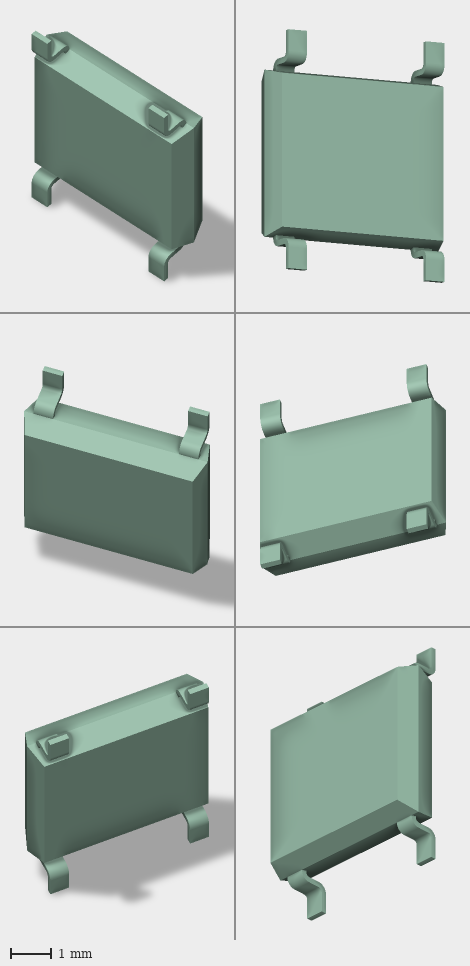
import cadquery as cq

HOUSING_WIDTH = 4.8
HOUSING_HEIGHT = 4.2
BACK_DEPTH = 0.55
BACK_INSET = 0.2
FRONT_DEPTH = 0.65
FRONT_INSET = 0.17

LEAD_SPAN = 6.0
LEAD_PITCH = 3.805
LEAD_WIDTH = 0.51
LEAD_THICKNESS = 0.15
BEND_RADIUS = 0.25
INNER_RADIUS = BEND_RADIUS - LEAD_THICKNESS
FOOT_STANDOFF = 0.2

FOOT_TIP_Z = LEAD_SPAN / 2
FOOT_FRONT_Y = -(FRONT_DEPTH + FOOT_STANDOFF)
FOOT_BACK_Y = FOOT_FRONT_Y + LEAD_THICKNESS
SHOULDER_Z = HOUSING_HEIGHT / 2 + BEND_RADIUS


def tapered_half(depth, inset, direction):
    """Half of the housing, narrowing from Y = 0 towards direction * depth."""
    return (
        cq.Workplane("XZ")
        .rect(HOUSING_WIDTH, HOUSING_HEIGHT)
        .workplane(offset=-direction * depth)
        .rect(HOUSING_WIDTH - 2 * inset, HOUSING_HEIGHT - 2 * inset)
        .loft(ruled=True)
    )


def make_lead(center_x):
    """One bent strip, mirrored about Z = 0, with a foot at each end."""
    forward_run_z = SHOULDER_Z - LEAD_THICKNESS
    upper_half = (
        cq.Workplane("YZ", origin=(center_x, 0, 0))
        .lineTo(0, SHOULDER_Z - BEND_RADIUS)
        .radiusArc((-BEND_RADIUS, SHOULDER_Z), -BEND_RADIUS)
        .lineTo(FOOT_BACK_Y + INNER_RADIUS, SHOULDER_Z)
        .radiusArc((FOOT_BACK_Y, SHOULDER_Z + INNER_RADIUS), INNER_RADIUS)
        .lineTo(FOOT_BACK_Y, FOOT_TIP_Z)
        .lineTo(FOOT_FRONT_Y, FOOT_TIP_Z)
        .lineTo(FOOT_FRONT_Y, forward_run_z + BEND_RADIUS)
        .radiusArc((FOOT_FRONT_Y + BEND_RADIUS, forward_run_z), -BEND_RADIUS)
        .lineTo(-BEND_RADIUS, forward_run_z)
        .radiusArc((-LEAD_THICKNESS, forward_run_z - INNER_RADIUS), INNER_RADIUS)
        .lineTo(-LEAD_THICKNESS, 0)
        .close()
        .extrude(LEAD_WIDTH / 2, both=True)
    )
    return upper_half.union(upper_half.mirror("XY")).clean()


def make_housing(leads):
    """Housing with a matching through slot for every lead."""
    housing = tapered_half(BACK_DEPTH, BACK_INSET, 1).union(
        tapered_half(FRONT_DEPTH, FRONT_INSET, -1)
    )
    for lead in leads:
        housing = housing.cut(lead)
    return housing


leads = [make_lead(side * LEAD_PITCH / 2) for side in (-1, 1)]
housing = make_housing(leads)

result = cq.Compound.makeCompound([housing.val(), *[lead.val() for lead in leads]])